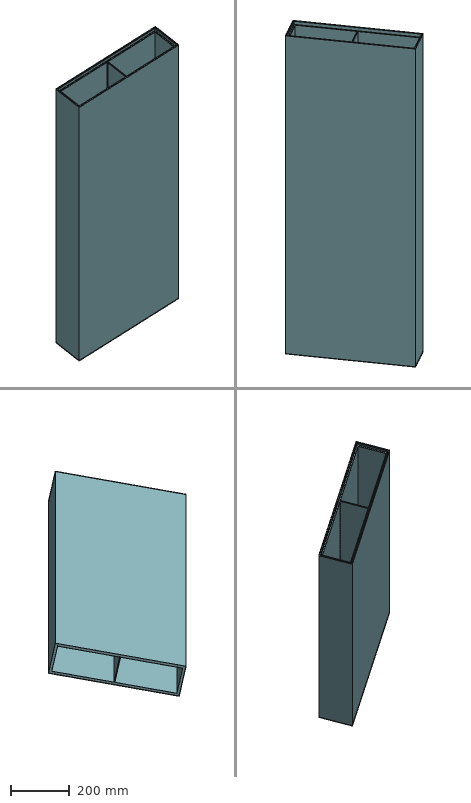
import cadquery as cq

width = 119.0
depth = 453.0
height = 1212

wall = 10.0
divider_thickness = 3.0

rim_thickness = 5.0
rebate_depth = 12.0

bore_width = width - 2 * wall
bore_depth = depth - 2 * wall
divider_height = height - rebate_depth


def upright_block(size_x, size_y, size_z, base_z=0):
    """Block centred on the Z axis, standing on the level base_z."""
    block = cq.Workplane("XY").box(size_x, size_y, size_z, centered=(True, True, False))
    return block.translate((0, 0, base_z))


tube = upright_block(width, depth, height).cut(upright_block(bore_width, bore_depth, height))

rebate = upright_block(
    width - 2 * rim_thickness,
    depth - 2 * rim_thickness,
    rebate_depth,
    base_z=divider_height,
)

divider = upright_block(bore_width, divider_thickness, divider_height)

result = tube.cut(rebate).union(divider)